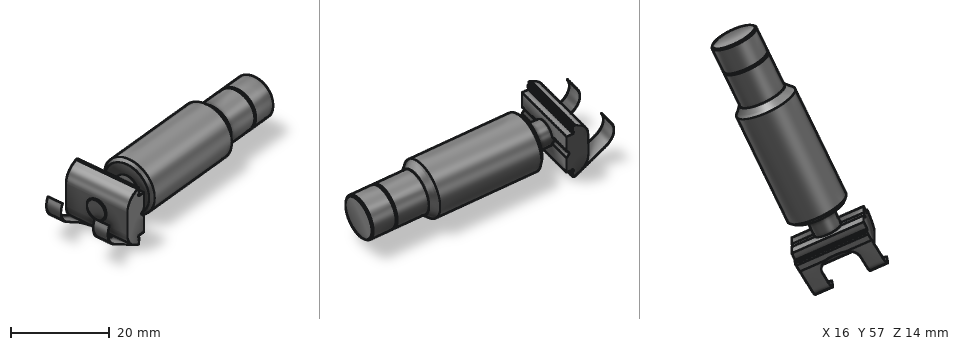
import cadquery as cq
import math


pin_end_y = 57.05
tail_radius = 10.0 / 2
tail_chamfer = 0.3
groove_y = 50.9
groove_width = 0.35
groove_depth = 0.15
shoulder_y = 43.25
shoulder_radius = 5.15
cone_break_y = 42.05
cone_break_radius = 6.1
cone_end_y = 41.5
body_radius = 13.2 / 2
body_front_y = 16.0
body_chamfer = 0.8
rod_radius = 6.0 / 2

head_width = 16.0
head_half_height = 14.0 / 2
head_front_y = 6.35
head_rear_y = 11.65
flat_half_height = 2.85
round_radius = 4.0
flank_angle = math.radians(30)
lip_y = 10.05
tooth_y = 10.2
tooth_low_z = 5.65
tooth_high_z = 6.1
undercut_y = 9.85
undercut_z = 5.25
step_y = 10.05
neck_half_height = 4.9
vee_half_height = 0.9
vee_depth = 0.75
button_radius = 5.1 / 2
button_height = 0.2
button_chamfer = 0.15

spring_thickness = 0.1
spring_radius = 4.0
window_width = 8.4
window_corner = 3.4
window_bottom_z = -6.1

flank_sin = math.sin(flank_angle)
flank_cos = math.cos(flank_angle)
flank_y = head_front_y + round_radius * (1 - flank_sin)
flank_z = flat_half_height + round_radius * flank_cos
flank_rear_y = flank_y + (head_half_height - flank_z) / math.tan(flank_angle)


def make_pin():
    """Revolve the stepped pin; profile points are (radius, Y)."""
    groove_rear_y = groove_y + groove_width
    profile = [
        (0, head_rear_y - vee_depth),
        (rod_radius, head_rear_y - vee_depth),
        (rod_radius, body_front_y),
        (body_radius - body_chamfer, body_front_y),
        (body_radius, body_front_y + body_chamfer),
        (body_radius, cone_end_y),
        (cone_break_radius, cone_break_y),
        (shoulder_radius, shoulder_y),
        (tail_radius, shoulder_y),
        (tail_radius, groove_y),
        (tail_radius - groove_depth, groove_y),
        (tail_radius - groove_depth, groove_rear_y),
        (tail_radius, groove_rear_y),
        (tail_radius, pin_end_y - tail_chamfer),
        (tail_radius - tail_chamfer, pin_end_y),
        (0, pin_end_y),
    ]
    return cq.Workplane("XY").polyline(profile).close().revolve(360, (0, 0, 0), (0, 1, 0))


def make_head():
    """Extrude the symmetric head profile (Y, Z) and add the round button on its front."""
    mid_angle = (flank_angle + math.pi / 2) / 2
    round_mid_y = head_front_y + round_radius * (1 - math.sin(mid_angle))
    round_mid_z = flat_half_height + round_radius * math.cos(mid_angle)
    upper_rear = [
        (lip_y, head_half_height),
        (lip_y, tooth_high_z),
        (tooth_y, tooth_high_z),
        (tooth_y, tooth_low_z),
        (undercut_y, undercut_z),
        (step_y, neck_half_height),
        (head_rear_y, neck_half_height),
        (head_rear_y, vee_half_height),
    ]
    profile = (
        cq.Workplane("YZ", origin=(-head_width / 2, 0, 0))
        .moveTo(head_front_y, -flat_half_height)
        .lineTo(head_front_y, flat_half_height)
        .threePointArc((round_mid_y, round_mid_z), (flank_y, flank_z))
        .lineTo(flank_rear_y, head_half_height)
    )
    for y, z in upper_rear:
        profile = profile.lineTo(y, z)
    profile = profile.lineTo(head_rear_y - vee_depth, 0)
    for y, z in reversed(upper_rear):
        profile = profile.lineTo(y, -z)
    profile = (
        profile.lineTo(flank_rear_y, -head_half_height)
        .lineTo(flank_y, -flank_z)
        .threePointArc((round_mid_y, -round_mid_z), (head_front_y, -flat_half_height))
        .close()
    )
    head = profile.extrude(head_width)
    button = (
        cq.Workplane("XZ", origin=(0, head_front_y, 0))
        .circle(button_radius)
        .extrude(button_height)
        .faces("<Y")
        .chamfer(button_chamfer)
    )
    return head.union(button)


def make_spring():
    """Sheet that continues the lower flank, curls up at the tip and is split into two arms."""
    center_y = spring_radius
    bend_y = center_y - spring_radius * flank_sin
    bend_z = -flank_z + (flank_y - bend_y) * math.tan(flank_angle)
    center_z = bend_z + spring_radius * flank_cos
    inner_radius = spring_radius - spring_thickness

    def on_arc(radius, angle):
        return (center_y - radius * math.cos(angle), center_z + radius * math.sin(angle))

    tip_angle = flank_angle
    bend_angle = flank_angle - math.pi / 2
    mid_angle = (tip_angle + bend_angle) / 2
    root_inner = (flank_rear_y - spring_thickness * flank_sin,
                  -head_half_height + spring_thickness * flank_cos)
    sheet = (
        cq.Workplane("YZ", origin=(-head_width / 2, 0, 0))
        .moveTo(flank_rear_y, -head_half_height)
        .lineTo(bend_y, bend_z)
        .threePointArc(on_arc(spring_radius, mid_angle), on_arc(spring_radius, tip_angle))
        .lineTo(*on_arc(inner_radius, tip_angle))
        .threePointArc(on_arc(inner_radius, mid_angle), on_arc(inner_radius, bend_angle))
        .lineTo(*root_inner)
        .close()
        .extrude(head_width)
    )

    window_y = flank_y - (window_bottom_z + flank_z) / math.tan(flank_angle)
    window_length = 2 * spring_radius + flank_y
    flank_plane = cq.Plane(
        origin=(0, window_y, window_bottom_z),
        xDir=(1, 0, 0),
        normal=(0, flank_sin, flank_cos),
    )
    window = (
        cq.Workplane(flank_plane)
        .center(0, -window_length / 2)
        .rect(window_width, window_length)
        .extrude(2 * spring_radius, both=True)
        .edges(cq.selectors.ParallelDirSelector(flank_plane.zDir))
        .fillet(window_corner)
    )
    return sheet.cut(window)


result = make_pin().union(make_head()).union(make_spring())